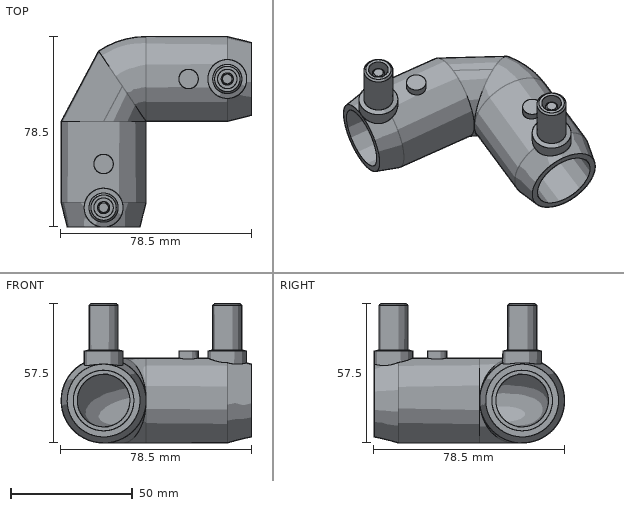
import cadquery as cq
import math

body_diameter = 35.0
leg_end = 61.0
taper_start = 50.95
end_diameter = 30.0
socket_diameter = 25.0
bore_diameter = 21.7
bend_facet_angle = 56

stub_diameter = 8.0
stub_top = 20.4

collar_diameter = 16.0
pin_diameter = 12.0
pin_top = 40.0
pin_chamfer = 0.8
collar_rim = 20.3
collar_cone_top = 20.9
pin_hole_diameter = 8.0
pin_hole_depth = 10.0
contact_diameter = 5.0
contact_tip_diameter = 4.0
contact_height = 8.0
x_terminal_place = 50.95
y_terminal_place = 53.0

body_radius = body_diameter / 2
bend_clearance = 0.015
bend_radius = body_radius + bend_clearance
stub_place = body_diameter
pivot = (bend_radius, -bend_radius)


def leg_outside():
    """Tapered outside of the leg along X."""
    profile = [
        (bend_radius, 0),
        (bend_radius, body_radius),
        (taper_start, body_radius),
        (leg_end, end_diameter / 2),
        (leg_end, 0),
    ]
    return cq.Workplane("XY").polyline(profile).close().revolve(360, (0, 0, 0), (1, 0, 0))


def leg_bore(diameter):
    """Straight bore of the leg along X."""
    leg_start = cq.Workplane("YZ", origin=(bend_radius, 0, 0))
    return leg_start.circle(diameter / 2).extrude(leg_end - bend_radius)


def as_y_leg(leg):
    """Turn the leg along X onto the -Y direction."""
    return leg.rotate((0, 0, 0), (0, 0, 1), -90)


def bend_section(angle, diameter):
    """Circular section of the bend; the angle is measured from the leg along Y."""
    turn = math.radians(angle)
    outward = cq.Vector(-math.cos(turn), math.sin(turn), 0)
    center = cq.Vector(*pivot, 0) + outward * bend_radius
    along = cq.Vector(math.sin(turn), math.cos(turn), 0)
    return cq.Wire.makeCircle(diameter / 2, center, along)


def bend_sweep(diameter, first_angle, last_angle):
    """Toroidal stretch of a bend between two angles, in degrees."""
    section = bend_section(first_angle, diameter)
    axis_start = cq.Vector(*pivot, 0)
    axis_end = cq.Vector(*pivot, -0.8)
    stretch = cq.Solid.revolve(section, [], last_angle - first_angle, axis_start, axis_end)
    return cq.Workplane(stretch)


def bend_outside():
    """Bend with a straight-sided stretch next to the leg along Y."""
    first = bend_section(0, body_diameter)
    second = bend_section(bend_facet_angle, body_diameter)
    straight = cq.Workplane(cq.Solid.makeLoft([first, second], True))
    return straight.union(bend_sweep(body_diameter, bend_facet_angle, 90))


def post(x, y, diameter, bottom, top):
    """Upright cylinder."""
    return cq.Workplane("XY", origin=(x, y, bottom)).circle(diameter / 2).extrude(top - bottom)


def terminal(x, y):
    """Collar and hollow pin with a contact inside."""
    collar_profile = [
        (0, 0),
        (collar_diameter / 2, 0),
        (collar_diameter / 2, collar_rim),
        (pin_diameter / 2, collar_cone_top),
        (0, collar_cone_top),
    ]
    half_section = cq.Workplane("XZ", origin=(x, y, 0)).polyline(collar_profile).close()
    collar = half_section.revolve(360, (0, 0, 0), (0, 1, 0))
    pin = post(x, y, pin_diameter, 0, pin_top).faces(">Z").edges().chamfer(pin_chamfer)
    hole_floor = pin_top - pin_hole_depth
    hole = post(x, y, pin_hole_diameter, hole_floor, pin_top)
    contact = post(x, y, contact_diameter, hole_floor, hole_floor + contact_height)
    contact = contact.faces(">Z").edges().chamfer((contact_diameter - contact_tip_diameter) / 2)
    return collar.union(pin).cut(hole).union(contact)


result = leg_outside().union(bend_outside()).union(as_y_leg(leg_outside()))

for x, y in ((stub_place, 0), (0, -stub_place)):
    result = result.union(post(x, y, stub_diameter, 0, stub_top))
for x, y in ((x_terminal_place, 0), (0, -y_terminal_place)):
    result = result.union(terminal(x, y))

result = result.cut(leg_bore(socket_diameter))
result = result.cut(as_y_leg(leg_bore(socket_diameter)))
result = result.cut(bend_sweep(bore_diameter, 0, 90))